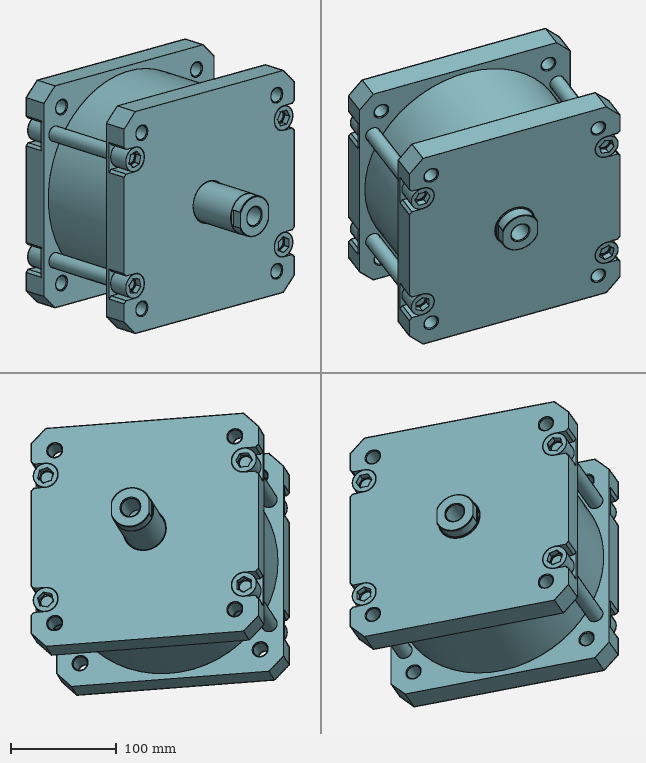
import cadquery as cq
import math


plate_side = 220.0
plate_thickness = 24.9
corner_chamfer = 14.3
mount_hole_spacing = 174.5
mount_hole_diameter = 13.6
hole_edge_chamfer = 0.9

barrel_diameter = 209.0
barrel_length = 86.5

bolt_spacing_y = 192.3
bolt_spacing_z = 125.5
bolt_diameter = 15.0
bolt_head_diameter = 23.8
bolt_head_length = 21.0
slot_width = 24.5
slot_mouth_chamfer = 2.6
socket_across_flats = 13.6
socket_depth = 6.4
socket_relief_diameter = 12.3
socket_relief_depth = 1.0
bolt_placements = [(1, 1, 0), (1, -1, 30), (-1, 1, 15), (-1, -1, 45)]

shaft_diameter = 40.0
shaft_projection_left = 12.5
shaft_projection_right = 62.7
shaft_end_diameter = 39.5
shaft_end_length = 11.7
shaft_end_chamfer = 0.55
flat_spacing = 36.3
flat_length = 10.0
flat_runout_rise = 0.7
centre_hole_diameter = 18.3
centre_hole_depth = 33.0
centre_hole_chamfer = 0.9
drill_point_angle = 118.0

plate_inner_x = barrel_length / 2
plate_outer_x = plate_inner_x + plate_thickness
shaft_left_x = -plate_outer_x - shaft_projection_left
shaft_right_x = plate_outer_x + shaft_projection_right
shaft_length = shaft_right_x - shaft_left_x


def x_cylinder(diameter, x_start, length, y=0.0, z=0.0):
    """Cylinder along +X that starts at x_start."""
    return cq.Workplane("YZ", origin=(x_start, y, z)).circle(diameter / 2).extrude(length)


def slot_cutter(side_y, side_z):
    """Slot for a bolt head, open at the plate's outer face and at its side, with a flared mouth."""
    bolt_y = bolt_spacing_y / 2
    edge_y = plate_side / 2
    half_width = slot_width / 2
    mouth_y = edge_y - slot_mouth_chamfer
    mouth_half_width = half_width + slot_mouth_chamfer
    cutter = (
        cq.Workplane("YZ", origin=(plate_outer_x - bolt_head_length, 0, 0))
        .moveTo(bolt_y, half_width)
        .threePointArc((bolt_y - half_width, 0), (bolt_y, -half_width))
        .lineTo(mouth_y, -half_width)
        .lineTo(edge_y, -mouth_half_width)
        .lineTo(edge_y, mouth_half_width)
        .lineTo(mouth_y, half_width)
        .close()
        .extrude(bolt_head_length)
    )
    if side_y < 0:
        cutter = cutter.mirror("XZ")
    return cutter.translate((0, 0, side_z * bolt_spacing_z / 2))


def make_right_plate():
    plate = (
        cq.Workplane("YZ", origin=(plate_inner_x, 0, 0))
        .rect(plate_side, plate_side)
        .extrude(plate_thickness)
        .edges("|X")
        .chamfer(corner_chamfer)
    )

    mount_holes = (
        cq.Workplane("YZ", origin=(plate_inner_x, 0, 0))
        .rect(mount_hole_spacing, mount_hole_spacing, forConstruction=True)
        .vertices()
        .circle(mount_hole_diameter / 2)
        .extrude(plate_thickness)
    )
    plate = plate.cut(mount_holes)
    plate = plate.edges("%CIRCLE").chamfer(hole_edge_chamfer)

    plate = plate.cut(x_cylinder(shaft_diameter, plate_inner_x, plate_thickness))
    outer_bore_edge = cq.selectors.RadiusNthSelector(-1)
    plate = plate.faces(">X").edges(outer_bore_edge).chamfer(hole_edge_chamfer)

    for side_y, side_z, _ in bolt_placements:
        bolt_y = side_y * bolt_spacing_y / 2
        bolt_z = side_z * bolt_spacing_z / 2
        plate = plate.cut(slot_cutter(side_y, side_z))
        plate = plate.cut(x_cylinder(bolt_diameter, plate_inner_x, plate_thickness, bolt_y, bolt_z))
    return plate


def make_barrel():
    barrel = x_cylinder(barrel_diameter, -plate_inner_x, barrel_length)
    return barrel.cut(x_cylinder(shaft_diameter, -plate_inner_x, barrel_length))


def bolt_end(socket_turn):
    """Right-hand half of a tie bolt on the X axis: half the rod and a head with a hex socket."""
    rod = x_cylinder(bolt_diameter, 0, plate_outer_x)
    head = x_cylinder(bolt_head_diameter, plate_outer_x - bolt_head_length, bolt_head_length)
    socket_across_corners = socket_across_flats / math.cos(math.pi / 6)
    socket = (
        cq.Workplane("YZ", origin=(plate_outer_x - socket_depth, 0, 0))
        .polygon(6, socket_across_corners)
        .extrude(socket_depth)
        .rotate((0, 0, 0), (1, 0, 0), socket_turn)
    )
    relief_x = plate_outer_x - socket_depth - socket_relief_depth
    relief = x_cylinder(socket_relief_diameter, relief_x, socket_relief_depth)
    return rod.union(head).cut(socket).cut(relief)


def make_tie_bolt(side_y, side_z, socket_turn):
    right_half = bolt_end(socket_turn)
    bolt = right_half.union(right_half.mirror("YZ"))
    return bolt.translate((0, side_y * bolt_spacing_y / 2, side_z * bolt_spacing_z / 2))


def centre_hole_cutter():
    """Chamfered blind hole with a drill point, opening at X = 0 and running toward -X."""
    radius = centre_hole_diameter / 2
    mouth_radius = radius + centre_hole_chamfer
    point_length = radius / math.tan(math.radians(drill_point_angle / 2))
    return (
        cq.Workplane("XY")
        .lineTo(0, mouth_radius)
        .lineTo(-centre_hole_chamfer, radius)
        .lineTo(-centre_hole_depth, radius)
        .lineTo(-centre_hole_depth - point_length, 0)
        .close()
        .revolve(360, (0, 0, 0), (1, 0, 0))
    )


def flat_cutter():
    """Cut for the wrench flat on the -Y side of a shaft end whose tip is at X = 0.

    Its inner end slopes outward up to the shoulder.
    """
    flat_y = -flat_spacing / 2
    clear_y = -shaft_diameter
    return (
        cq.Workplane("XY")
        .moveTo(0, flat_y)
        .lineTo(-flat_length, flat_y)
        .lineTo(-shaft_end_length, flat_y - flat_runout_rise)
        .lineTo(-shaft_end_length, clear_y)
        .lineTo(0, clear_y)
        .close()
        .extrude(shaft_diameter / 2, both=True)
    )


def make_shaft_end():
    """Solid reduced shaft end with a wrench flat on each Y side, tip at X = 0."""
    end = x_cylinder(shaft_end_diameter, -shaft_end_length, shaft_end_length)
    end = end.faces(">X").edges().chamfer(shaft_end_chamfer)
    flat = flat_cutter()
    return end.cut(flat).cut(flat.mirror("XZ"))


def make_shaft():
    body_length = shaft_length - 2 * shaft_end_length
    shaft = x_cylinder(shaft_diameter, shaft_left_x + shaft_end_length, body_length)
    end = make_shaft_end()
    hole = centre_hole_cutter()
    shaft = shaft.union(end.translate((shaft_right_x, 0, 0)))
    shaft = shaft.union(end.mirror("YZ").translate((shaft_left_x, 0, 0)))
    shaft = shaft.cut(hole.translate((shaft_right_x, 0, 0)))
    return shaft.cut(hole.mirror("YZ").translate((shaft_left_x, 0, 0)))


right_plate = make_right_plate()
left_plate = right_plate.mirror("YZ")
barrel = make_barrel()
shaft = make_shaft()
tie_bolts = [make_tie_bolt(*placement) for placement in bolt_placements]

result = cq.Compound.makeCompound(
    [left_plate.val(), right_plate.val(), barrel.val(), shaft.val()]
    + [bolt.val() for bolt in tie_bolts]
)